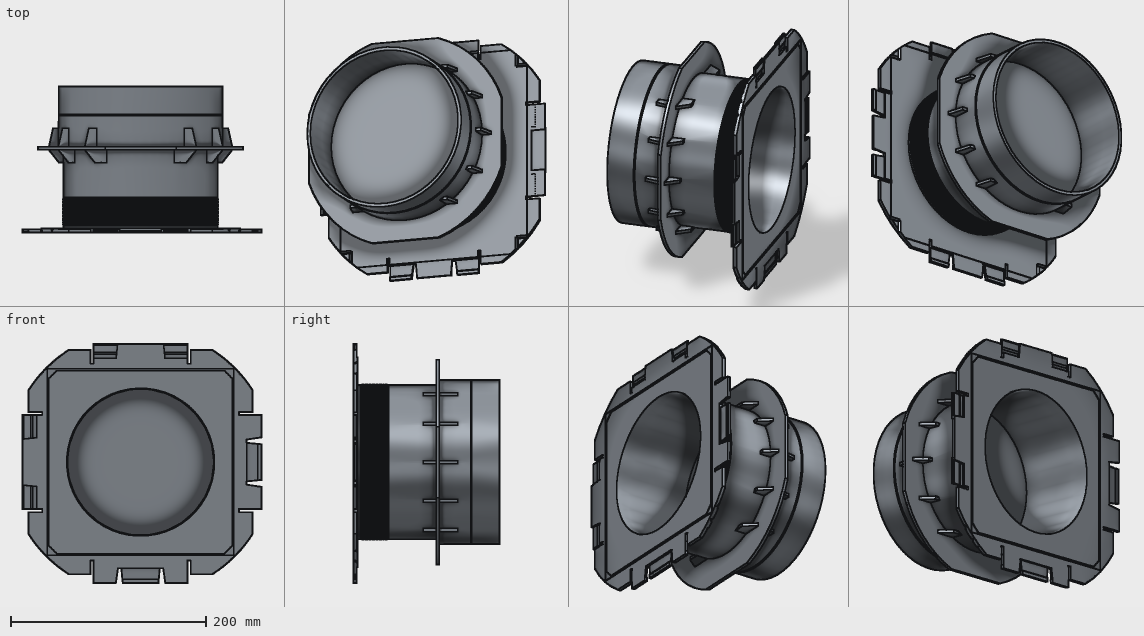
import cadquery as cq
import math


PLATE_HALF = 114.9
PLATE_CORNER_RADIUS = 136.5
PLATE_THICKNESS = 3.7
PAD_HEIGHT = 0.7
PLATE_BACK = PLATE_THICKNESS + PAD_HEIGHT
PAD_HALF_X = 102.0
PAD_HALF_Z = 107.5

BACK_GROOVE_OFFSET = 90.5
BACK_GROOVE_WIDTH = 3.2
BACK_GROOVE_FLOOR = 2.2

FRAME_HALF = 95.5
FRAME_WIDTH = 1.7
FRAME_CORNER = 8.0
FRAME_DEPTH = 0.5

TAB_HALF_WIDTH = 48.2
RELIEF_SLOT_WIDTH = 3.0
RELIEF_SLOT_ROOT = 101.0
HOOK_TAB_TIP = 121.0
LATCH_TAB_TIP = 124.0
THIN_FRONT = 2.2

POCKET_ROOT = 106.3
POCKET_DEPTH = 2.5
POCKET_INNER_ROOT = 25.0
POCKET_INNER_TIP = 23.5
RIDGE_DEPTH = 1.5
RIDGE_START = 110.2
RIDGE_FULL = 112.5
RIDGE_END = 119.8
BACK_RECESS_HALF = 21.0

LATCH_ROOT = 108.7
LATCH_HALF_ROOT = 19.8
LATCH_HALF_TIP = 18.4
LATCH_LIP_START = 119.8
LATCH_LIP_FRONT = 1.2
GAP_HALF_ROOT = 23.0
GAP_HALF_TIP = 25.2
SNAP_RIDGE_BACK = 3.2

LENGTH = 150.0
TUBE_RADIUS = 158.2 / 2
BORE_RADIUS_FRONT = 75.7
BORE_RADIUS_INNER = 75.0
SOCKET_RADIUS = 168.2 / 2
SOCKET_WALL = 3.5
LINE_GROOVE_RADIUS = 167.3 / 2
LINE_GROOVE_WIDTH = 1.5
LINE_GROOVE_Y = 120.0

RING_START_Y = 7.0
RING_PITCH = 1.81
RING_COUNT = 16
RING_ROOT_RADIUS = 78.5
RING_CREST_RADIUS = 79.5

FLANGE_FRONT = 84.7
FLANGE_BACK = 88.2
FLANGE_HALF = 105.0
FLANGE_RADIUS = 111.2

FIN_HEIGHTS = (-69.5, -39.5, 0, 39.5, 69.5)
FIN_THICKNESS = 3.2
FIN_REACH = 9.8
FIN_BACK_Y = 107.0
FIN_BACK_INSET = 4.2
FIN_FRONT_Y = 71.8
FIN_FRONT_INSET = 10.3

MARGIN = 2.5


def layer(points, y_start, y_end):
    """Prism between two Y levels with an outline given as (x, z) points."""
    plane = cq.Workplane("XZ", origin=(0, y_start, 0))
    return plane.polyline(points).close().extrude(y_start - y_end)


def block(half_x, half_z, y_start, y_end):
    plane = cq.Workplane("XZ", origin=(0, y_start, 0))
    return plane.rect(2 * half_x, 2 * half_z).extrude(y_start - y_end)


def disc(radius, y_start, y_end):
    return cq.Workplane("XZ", origin=(0, y_start, 0)).circle(radius).extrude(y_start - y_end)


def edge_strip(u_start, u_end, v_start, v_end, y_start, y_end):
    """Box on the +Z edge: u runs along the edge, v away from the axis."""
    outline = [(u_start, v_start), (u_end, v_start), (u_end, v_end), (u_start, v_end)]
    return layer(outline, y_start, y_end)


def edge_profile(u_start, u_end, points):
    """Prism along the +Z edge with a cross-section given as (y, v) points."""
    plane = cq.Workplane("YZ", origin=(u_start, 0, 0))
    return plane.polyline(points).close().extrude(u_end - u_start)


def both_ends(body):
    return body.union(body.mirror("YZ"))


def turn(body, angle):
    return body.rotate((0, 0, 0), (0, 1, 0), angle)


def plate():
    body = block(PLATE_HALF, PLATE_HALF, 0, PLATE_THICKNESS)
    body = body.union(block(PAD_HALF_X, PAD_HALF_Z, 0, PLATE_BACK))
    body = body.intersect(disc(PLATE_CORNER_RADIUS, 0, PLATE_BACK))
    inner = block(FRAME_HALF - FRAME_WIDTH, FRAME_HALF - FRAME_WIDTH, 0, FRAME_DEPTH)
    inner = inner.edges("|Y").chamfer(FRAME_CORNER)
    body = body.cut(block(FRAME_HALF, FRAME_HALF, 0, FRAME_DEPTH).cut(inner))
    for angle in (0, 90, 180, 270):
        body = body.cut(turn(back_grooves(), angle))
    return body


def back_grooves():
    half = BACK_GROOVE_WIDTH / 2
    groove = edge_profile(BACK_GROOVE_OFFSET, PLATE_HALF, [
        (BACK_GROOVE_FLOOR, BACK_GROOVE_OFFSET),
        (PLATE_BACK, BACK_GROOVE_OFFSET + half),
        (PLATE_BACK, BACK_GROOVE_OFFSET - half),
    ])
    return both_ends(groove)


def relief_slots():
    slot_end = TAB_HALF_WIDTH + RELIEF_SLOT_WIDTH
    reach = LATCH_TAB_TIP + MARGIN
    return both_ends(edge_strip(TAB_HALF_WIDTH, slot_end, RELIEF_SLOT_ROOT, reach, -MARGIN, PLATE_BACK))


def tab_blank(tip):
    return edge_strip(-TAB_HALF_WIDTH, TAB_HALF_WIDTH, RELIEF_SLOT_ROOT, tip, 0, PLATE_THICKNESS)


def hook_pocket():
    section = edge_profile(0, TAB_HALF_WIDTH, [
        (0, POCKET_ROOT),
        (POCKET_DEPTH, POCKET_ROOT),
        (POCKET_DEPTH, RIDGE_START),
        (RIDGE_DEPTH, RIDGE_FULL),
        (RIDGE_DEPTH, RIDGE_END),
        (POCKET_DEPTH, HOOK_TAB_TIP),
        (0, HOOK_TAB_TIP),
    ])
    plan = layer([
        (POCKET_INNER_ROOT, POCKET_ROOT),
        (TAB_HALF_WIDTH, POCKET_ROOT),
        (TAB_HALF_WIDTH, HOOK_TAB_TIP),
        (POCKET_INNER_TIP, HOOK_TAB_TIP),
    ], 0, POCKET_DEPTH)
    return section.intersect(plan)


def hook_cuts():
    recess = edge_strip(
        -BACK_RECESS_HALF, BACK_RECESS_HALF,
        POCKET_ROOT, HOOK_TAB_TIP,
        THIN_FRONT, PLATE_BACK,
    )
    return both_ends(hook_pocket()).union(recess)


def latch_cuts():
    opening = layer([
        (-GAP_HALF_ROOT, LATCH_ROOT),
        (GAP_HALF_ROOT, LATCH_ROOT),
        (GAP_HALF_TIP, LATCH_TAB_TIP),
        (-GAP_HALF_TIP, LATCH_TAB_TIP),
    ], 0, PLATE_BACK)
    snap = edge_profile(GAP_HALF_ROOT, TAB_HALF_WIDTH, [
        (THIN_FRONT, LATCH_ROOT),
        (THIN_FRONT, LATCH_LIP_START),
        (SNAP_RIDGE_BACK, LATCH_LIP_START + SNAP_RIDGE_BACK - THIN_FRONT),
        (SNAP_RIDGE_BACK, LATCH_TAB_TIP),
        (PLATE_BACK, LATCH_TAB_TIP),
        (PLATE_BACK, LATCH_ROOT),
    ])
    return both_ends(snap).union(opening)


def latch_tongue():
    section = edge_profile(-LATCH_HALF_ROOT, LATCH_HALF_ROOT, [
        (THIN_FRONT, RELIEF_SLOT_ROOT),
        (THIN_FRONT, LATCH_LIP_START),
        (LATCH_LIP_FRONT, LATCH_LIP_START),
        (LATCH_LIP_FRONT, LATCH_TAB_TIP),
        (PLATE_THICKNESS, LATCH_TAB_TIP),
        (PLATE_THICKNESS, RELIEF_SLOT_ROOT),
    ])
    plan = layer([
        (-LATCH_HALF_ROOT, RELIEF_SLOT_ROOT),
        (LATCH_HALF_ROOT, RELIEF_SLOT_ROOT),
        (LATCH_HALF_ROOT, LATCH_ROOT),
        (LATCH_HALF_TIP, LATCH_TAB_TIP),
        (-LATCH_HALF_TIP, LATCH_TAB_TIP),
        (-LATCH_HALF_ROOT, LATCH_ROOT),
    ], 0, PLATE_THICKNESS)
    return section.intersect(plan)


def add_tabs(body):
    for angle in (0, -90):
        body = body.union(turn(tab_blank(HOOK_TAB_TIP), angle))
        body = body.cut(turn(hook_cuts().union(relief_slots()), angle))
    for angle in (90, 180):
        body = body.union(turn(tab_blank(LATCH_TAB_TIP), angle))
        body = body.cut(turn(latch_cuts().union(relief_slots()), angle))
        body = body.union(turn(latch_tongue(), angle))
    return body


def pipe():
    """Ringed tube and socket, revolved as one solid without the bores."""
    outline = [(0, 0), (TUBE_RADIUS, 0), (TUBE_RADIUS, RING_START_Y)]
    for ring in range(RING_COUNT):
        ring_y = RING_START_Y + ring * RING_PITCH
        if ring > 0:
            outline.append((RING_CREST_RADIUS, ring_y))
        outline.append((RING_ROOT_RADIUS, ring_y + RING_PITCH / 2))
    outline += [
        (TUBE_RADIUS, RING_START_Y + RING_COUNT * RING_PITCH),
        (TUBE_RADIUS, FLANGE_FRONT),
        (SOCKET_RADIUS, FLANGE_FRONT),
        (SOCKET_RADIUS, LINE_GROOVE_Y),
        (LINE_GROOVE_RADIUS, LINE_GROOVE_Y),
        (LINE_GROOVE_RADIUS, LINE_GROOVE_Y + LINE_GROOVE_WIDTH),
        (SOCKET_RADIUS, LINE_GROOVE_Y + LINE_GROOVE_WIDTH),
        (SOCKET_RADIUS, LENGTH),
        (0, LENGTH),
    ]
    return cq.Workplane("XY").polyline(outline).close().revolve(360, (0, 0, 0), (0, 1, 0))


def bores():
    """Tapered front bore and plain socket bore, leaving the membrane between them."""
    front = cq.Workplane("XY").polyline([
        (0, 0),
        (BORE_RADIUS_FRONT, 0),
        (BORE_RADIUS_INNER, FLANGE_FRONT),
        (0, FLANGE_FRONT),
    ]).close().revolve(360, (0, 0, 0), (0, 1, 0))
    return front.union(disc(SOCKET_RADIUS - SOCKET_WALL, FLANGE_BACK, LENGTH))


def flange():
    body = block(FLANGE_HALF, FLANGE_HALF, FLANGE_FRONT, FLANGE_BACK)
    return body.intersect(disc(FLANGE_RADIUS, FLANGE_FRONT, FLANGE_BACK))


def fin(height):
    """Level fin on the +X side, running from inside the pipe wall past the flange."""
    half = FIN_THICKNESS / 2
    outer = math.sqrt(SOCKET_RADIUS ** 2 - height ** 2) + FIN_REACH
    inner = math.sqrt(BORE_RADIUS_FRONT ** 2 - (abs(height) + half) ** 2)
    outline = [
        (inner, FIN_FRONT_Y),
        (outer - FIN_FRONT_INSET, FIN_FRONT_Y),
        (outer, FLANGE_FRONT),
        (outer, FLANGE_BACK),
        (outer - FIN_BACK_INSET, FIN_BACK_Y),
        (inner, FIN_BACK_Y),
    ]
    plane = cq.Workplane("XY", origin=(0, 0, height - half))
    return plane.polyline(outline).close().extrude(FIN_THICKNESS)


result = add_tabs(plate()).union(pipe()).union(flange())
for fin_height in FIN_HEIGHTS:
    result = result.union(both_ends(fin(fin_height)))
result = result.cut(bores())